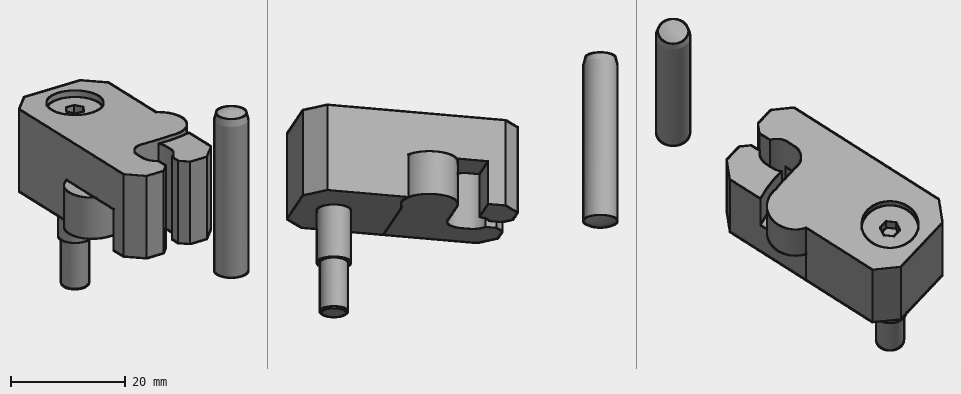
import cadquery as cq
import math

width = 19.0
height = 16.0
left_end = -7.0
rear_chamfer = 3.55
split_height = height / 2

housing_tip = 31.5
jaw_tip = 31.1
housing_tip_chamfer = 2.9
jaw_tip_chamfer = 3.0
mouth_chamfer = 1.5
mouth_width = 2.9
opening_radius = 3.0
opening_start = 23.5
opening_end = 25.0
finger_inner_face = 25.45

gap_center_y = 4.05
plate_end_radius = 20.55
finger_start_radius = 22.0

lug_radius = 5.0
lug_x = 15.5
lug_y = 24.0 / 2 - lug_radius
lug_half_chord = math.sqrt(lug_radius**2 - (width / 2 - lug_y) ** 2)
pocket_start = lug_x - lug_half_chord
jaw_plate_end = lug_x + lug_radius

head_radius = 5.0
head_top = height - 1.3
head_thickness = 3.0
shoulder_radius = 3.0
shoulder_bottom = -9.75
thread_radius = 2.5
thread_start = -11.8
screw_bottom = -19.15
thread_chamfer = 0.3
hex_across_flats = 3.0
hex_depth = 2.0

pin_x = 47.95
pin_radius = 3.0
pin_bottom = 1.5
pin_top = 33.6
pin_lower_dome_height = 0.85
pin_cone_height = 1.4
pin_end_radius = 2.65
pin_upper_dome_height = 0.6


def box(x_start, x_end, y_start, y_end, z_start, z_end):
    size = (x_end - x_start, y_end - y_start, z_end - z_start)
    return cq.Workplane().box(*size, centered=False).translate((x_start, y_start, z_start))


def cylinder(x, y, radius, z_start, z_end):
    return cq.Workplane(origin=(x, y, z_start)).circle(radius).extrude(z_end - z_start)


def block_outline(tip, tip_chamfer):
    """Full-height block with chamfered corners, symmetric about the XZ plane."""
    half = width / 2
    return (
        cq.Workplane()
        .moveTo(left_end, rear_chamfer - half)
        .lineTo(left_end + rear_chamfer, -half)
        .lineTo(tip - tip_chamfer, -half)
        .lineTo(tip, tip_chamfer - half)
        .lineTo(tip, half - tip_chamfer)
        .lineTo(tip - tip_chamfer, half)
        .lineTo(left_end + rear_chamfer, half)
        .lineTo(left_end, half - rear_chamfer)
        .close()
        .extrude(height)
    )


def clamp_opening(tip):
    """Elongated hole with a mouth that widens toward the finger tip."""
    hole = (
        cq.Workplane()
        .center((opening_start + opening_end) / 2, 0)
        .slot2D(opening_end - opening_start + 2 * opening_radius, 2 * opening_radius)
        .extrude(height)
    )
    half_mouth = mouth_width / 2
    mouth = (
        cq.Workplane()
        .moveTo(opening_end, -half_mouth)
        .lineTo(tip - mouth_chamfer, -half_mouth)
        .lineTo(tip, -half_mouth - mouth_chamfer)
        .lineTo(tip, half_mouth + mouth_chamfer)
        .lineTo(tip - mouth_chamfer, half_mouth)
        .lineTo(opening_end, half_mouth)
        .close()
        .extrude(height)
    )
    return hole.union(mouth)


def make_housing():
    half = width / 2
    body = block_outline(housing_tip, housing_tip_chamfer)

    body = body.cut(box(pocket_start, finger_inner_face, -half, half, 0, split_height))
    body = body.cut(cylinder(lug_x, -lug_y, lug_radius, 0, split_height))

    finger_space = box(pocket_start, housing_tip, 0, half, 0, height)
    plate_end = cylinder(0, gap_center_y, plate_end_radius, split_height, height)
    plate_end = plate_end.union(box(0, plate_end_radius, 0, gap_center_y, split_height, height))
    body = body.cut(finger_space.cut(plate_end))

    body = body.union(cylinder(lug_x, lug_y, lug_radius, split_height, height))
    return body.cut(clamp_opening(housing_tip))


def make_jaw():
    half = width / 2
    outline = block_outline(jaw_tip, jaw_tip_chamfer)

    plate = box(pocket_start, jaw_plate_end, -lug_y, 0, 0, split_height)
    plate = plate.union(box(pocket_start, lug_x, -half, 0, 0, split_height))
    plate = plate.union(cylinder(lug_x, -lug_y, lug_radius, 0, split_height))

    finger = outline.intersect(box(pocket_start, jaw_tip, 0, half, 0, height))
    finger = finger.cut(cylinder(0, gap_center_y, finger_start_radius, split_height, height))
    return plate.union(finger).cut(clamp_opening(jaw_tip))


def make_screw():
    head = cylinder(0, 0, head_radius, head_top - head_thickness, head_top)
    shoulder = cylinder(0, 0, shoulder_radius, shoulder_bottom, head_top - head_thickness)
    neck = cylinder(0, 0, thread_radius, thread_start, shoulder_bottom)
    thread = cylinder(0, 0, thread_radius, screw_bottom, thread_start)
    thread = thread.faces("<Z").chamfer(thread_chamfer)
    screw = head.union(shoulder).union(neck, clean=False).union(thread, clean=False)
    socket = (
        cq.Workplane(origin=(0, 0, head_top - hex_depth))
        .polygon(6, hex_across_flats, circumscribed=True)
        .extrude(hex_depth)
    )
    return screw.cut(socket, clean=False)


def screw_hole():
    """Counterbored hole matching the screw, open to the top face."""
    head_seat = head_top - head_thickness
    counterbore = cylinder(0, 0, head_radius, head_seat, height)
    return counterbore.union(cylinder(0, 0, shoulder_radius, 0, head_seat))


def dome_midpoint(rim_radius, dome_height):
    """Radius, and drop below the crown, of a point halfway out on a spherical dome."""
    sphere_radius = (rim_radius**2 + dome_height**2) / (2 * dome_height)
    mid_radius = rim_radius / 2
    return mid_radius, sphere_radius - math.sqrt(sphere_radius**2 - mid_radius**2)


def make_pin():
    """Turned pin with a domed lower end and a conical, domed upper end."""
    cone_top = pin_top - pin_upper_dome_height
    lower_mid_radius, lower_mid_drop = dome_midpoint(pin_radius, pin_lower_dome_height)
    upper_mid_radius, upper_mid_drop = dome_midpoint(pin_end_radius, pin_upper_dome_height)
    return (
        cq.Workplane("XZ", origin=(pin_x, 0, 0))
        .moveTo(0, pin_bottom)
        .threePointArc(
            (lower_mid_radius, pin_bottom + lower_mid_drop),
            (pin_radius, pin_bottom + pin_lower_dome_height),
        )
        .lineTo(pin_radius, cone_top - pin_cone_height)
        .lineTo(pin_end_radius, cone_top)
        .threePointArc((upper_mid_radius, pin_top - upper_mid_drop), (0, pin_top))
        .close()
        .revolve(360, (0, 0), (0, 1))
    )


housing = make_housing().cut(screw_hole())
jaw = make_jaw()
screw = make_screw()
pin = make_pin()

result = cq.Compound.makeCompound([housing.val(), jaw.val(), screw.val(), pin.val()])